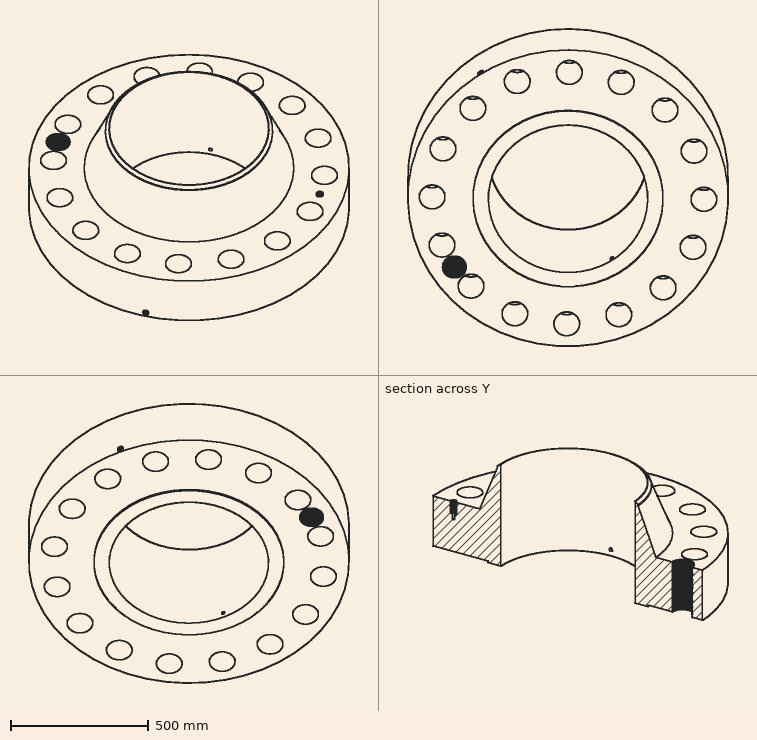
import cadquery as cq


flange_diameter = 1168.0
flange_thickness = 203.0
face_diameter = 693.0
face_height = 6.3
overall_height = 412.0
flange_top = face_height + flange_thickness

bore_diameter = 581.0
hub_base_diameter = 764.0
neck_diameter = 610.0
neck_length = 4.0
land_width = 1.6
bevel_height = 10.0

bolt_count = 16
bolt_circle_diameter = 991.0
bolt_hole_diameter = 93.0

jack_major_diameter = 86.0
jack_pitch = 6.5
jack_thread_depth = 3.0

port_major_diameter = 26.0
port_pitch = 3.0
port_thread_depth = 2.6
port_thread_length = 49.0
port_pilot_diameter = 7.6
port_pilot_depth = 23.0

tap_height = 25.0
tap_major_diameter = 21.0
tap_pitch = 1.9
tap_thread_depth = 1.4
tap_thread_length = 19.0
tap_taper = 1 / 16
tap_drill_diameter = 13.0


def thread_cutter(major_diameter, pitch, depth, length, taper=0.0):
    """Cutter for a hole with V-shaped ring grooves as its thread, going down from the origin.

    The taper is the loss of diameter per unit of length.
    """
    groove_count = round(length / pitch)
    groove_pitch = length / groove_count
    root_radius = major_diameter / 2

    outline = [(0, 0), (root_radius, 0)]
    for groove in range(groove_count):
        crest_z = (groove + 0.5) * groove_pitch
        root_z = (groove + 1) * groove_pitch
        outline.append((root_radius - depth - taper * crest_z / 2, -crest_z))
        outline.append((root_radius - taper * root_z / 2, -root_z))
    outline.append((0, -length))
    return cq.Workplane("XZ").polyline(outline).close().revolve(360, (0, 0), (0, 1))


def flange_body():
    neck_radius = neck_diameter / 2
    bevel_bottom = overall_height - bevel_height
    profile = [
        (bore_diameter / 2, 0),
        (face_diameter / 2, 0),
        (face_diameter / 2, face_height),
        (flange_diameter / 2, face_height),
        (flange_diameter / 2, flange_top),
        (hub_base_diameter / 2, flange_top),
        (neck_radius, bevel_bottom - neck_length),
        (neck_radius, bevel_bottom),
        (bore_diameter / 2 + land_width, overall_height),
        (bore_diameter / 2, overall_height),
    ]
    return cq.Workplane("XZ").polyline(profile).close().revolve(360, (0, 0), (0, 1))


def bolt_holes():
    first_angle = 180 / bolt_count
    return (
        cq.Workplane("XY")
        .polarArray(bolt_circle_diameter / 2, first_angle, 360, bolt_count)
        .circle(bolt_hole_diameter / 2)
        .extrude(flange_top)
    )


def jack_screw_hole():
    hole = thread_cutter(jack_major_diameter, jack_pitch, jack_thread_depth, flange_thickness)
    return hole.translate((-bolt_circle_diameter / 2, 0, flange_top))


def threaded_port():
    thread = thread_cutter(port_major_diameter, port_pitch, port_thread_depth, port_thread_length)
    pilot_end = port_thread_length + port_pilot_depth
    pilot = cq.Workplane("XY").circle(port_pilot_diameter / 2).extrude(-pilot_end)
    return thread.union(pilot).translate((bolt_circle_diameter / 2, 0, flange_top))


def pressure_tap(side_angle):
    """Tap cutter pointing at the axis, turned about Z from the -Y side by the given angle."""
    flange_radius = flange_diameter / 2
    socket = thread_cutter(
        tap_major_diameter, tap_pitch, tap_thread_depth, tap_thread_length, taper=tap_taper
    )
    drill = cq.Workplane("XY").circle(tap_drill_diameter / 2).extrude(-flange_radius)
    return (
        socket.union(drill)
        .rotate((0, 0, 0), (1, 0, 0), 90)
        .translate((0, -flange_radius, tap_height))
        .rotate((0, 0, 0), (0, 0, 1), side_angle)
    )


result = flange_body().cut(bolt_holes()).cut(jack_screw_hole()).cut(threaded_port())
for side_angle in (0, 180):
    result = result.cut(pressure_tap(side_angle))